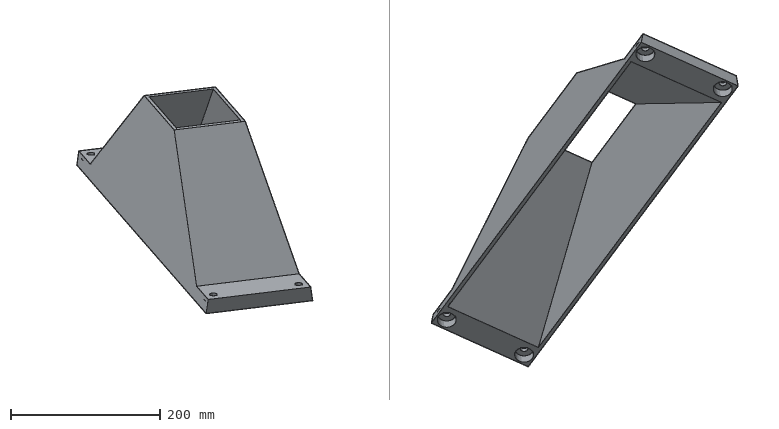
import cadquery as cq

length = 560.0
base_width = 150.0
height = 180.0

top_width = 100.0
top_length = 130.0
flange_thickness = 20.0
flange_length = 50.0

end_wall = 7.0
side_wall = 5.0

hole_diameter = 10.0
hole_spacing_x = 530.0
hole_spacing_y = 120.0
counterbore_diameter = 25.0
counterbore_depth = 13.5

half_hood = length / 2 - flange_length


def make_body():
    """Trapezoid profile with end flanges, its two sides leaning inward."""
    half_length = length / 2
    profile = (
        cq.Workplane("XZ")
        .polyline([
            (-half_length, 0),
            (half_length, 0),
            (half_length, flange_thickness),
            (half_hood, flange_thickness),
            (top_length / 2, height),
            (-top_length / 2, height),
            (-half_hood, flange_thickness),
            (-half_length, flange_thickness),
        ])
        .close()
        .extrude(base_width / 2, both=True)
    )
    leaning_sides = (
        cq.Workplane("YZ")
        .polyline([
            (-base_width / 2, 0),
            (base_width / 2, 0),
            (top_width / 2, height),
            (-top_width / 2, height),
        ])
        .close()
        .extrude(length / 2, both=True)
    )
    return profile.intersect(leaning_sides)


def make_passage():
    """Tapered passage through the full height, its walls following the hood's slopes."""
    end_slope = (half_hood - top_length / 2) / (height - flange_thickness)
    hood_base_length = top_length + 2 * end_slope * height
    return (
        cq.Workplane("XY")
        .rect(hood_base_length - 2 * end_wall, base_width - 2 * side_wall)
        .workplane(offset=height)
        .rect(top_length - 2 * end_wall, top_width - 2 * side_wall)
        .loft(ruled=True)
    )


def make_flange_cylinders(diameter, depth):
    """Four cylinders at the mounting positions, rising from the underside."""
    return (
        cq.Workplane("XY")
        .rect(hole_spacing_x, hole_spacing_y, forConstruction=True)
        .vertices()
        .circle(diameter / 2)
        .extrude(depth)
    )


mounting_holes = make_flange_cylinders(hole_diameter, flange_thickness)
counterbores = make_flange_cylinders(counterbore_diameter, counterbore_depth)

result = make_body().cut(make_passage()).cut(mounting_holes).cut(counterbores)